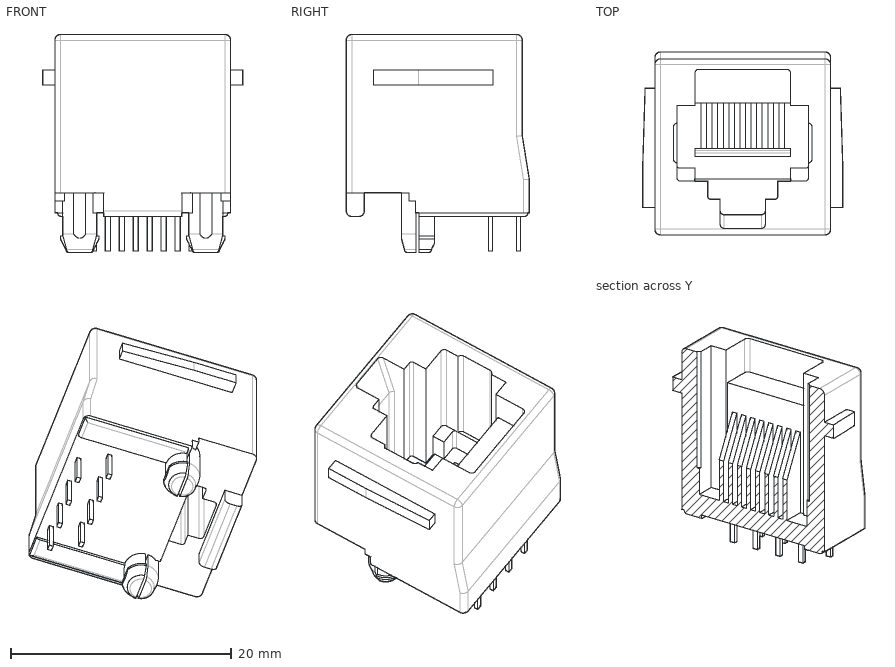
import cadquery as cq
import math


OVERALL_HEIGHT = 19.81
HOUSING_WIDTH = 15.97
HOUSING_TOP = 16.55
EDGE_RADIUS = 0.53
BACK_UPPER_Y = 16.0
BACK_LOWER_Y = 16.65
BACK_SLOPE_TOP = 7.33
BACK_SLOPE_BOTTOM = 3.39

FRONT_UNDERSIDE_Z = 2.14
STEP_UNDERSIDE_Z = 1.43
REAR_UNDERSIDE_Z = 0.34
REAR_BLOCK_Y = 6.32
STEP_Y = 5.7
STEP_INNER_X = 7.0
CENTER_BLOCK_WIDTH = 9.0
CENTER_BLOCK_Y = 5.07

TONGUE_WIDTH = 7.1
TONGUE_DEPTH = 1.66
TONGUE_RADIUS = 0.52
RAIL_OUTER_X = 7.73
RAIL_INNER_X = 5.73
RAIL_BACK_Y = 16.5
RAIL_RADIUS = 0.32

WING_SPAN = 18.17
WING_BACK_SPAN = 17.75
WING_FRONT_Y = 2.5
WING_TAPER_Y = 6.55
WING_BACK_Y = 13.35
WING_BOTTOM = 11.93
WING_HEIGHT = 1.39

PEG_X = 5.73
PEG_Y = 6.48
PEG_RADIUS = 1.56
PEG_TIP_Z = HOUSING_TOP - OVERALL_HEIGHT
PEG_TIP_RADIUS = 1.19
PEG_TIP_ROUND = 0.25
PEG_CONE_TOP_Z = -1.6
PEG_FLAT_Y = 5.01
PEG_SLIT = 0.24
BARB_RADIUS = 1.76
BARB_TOP_Z = -1.76
BARB_BAND = 0.28
BARB_TIP_RADIUS = 1.27

CAVITY_FLOOR_Z = 2.38
CAVITY_WIDTH = 11.97
CAVITY_FRONT_Y = 4.9
CAVITY_BACK_Y = 11.77
CONTACT_BAY_WIDTH = 8.68
CONTACT_WALL_Y = 12.0
LEDGE_BACK_Y = 15.05
LEDGE_Z = 13.2
LEDGE_CORNER_RADIUS = 0.35
SIDE_POCKET_WIDTH = 12.6
SIDE_POCKET_FRONT_Y = 6.54
SIDE_POCKET_BACK_Y = 10.18
SIDE_POCKET_RADIUS = 0.4
CORNER_RADIUS = 0.25
PLUG_CORNER_RADIUS = 0.35
SHOULDER_BACK_Y = 6.08
SHOULDER_Z = 4.95
LATCH_STEP_WIDTH = 6.34
LATCH_STEP_Y = 3.27
LATCH_SLOT_WIDTH = 4.1
LATCH_SLOT_TOP_Y = 0.61
LATCH_SLOT_BOTTOM_Y = 1.86
LATCH_RAMP_HEIGHT = 4.3
LATCH_CORNER_RADIUS = 0.35

CONTACT_COUNT = 8
CONTACT_PITCH = 1.01
CONTACT_WIDTH = 0.5
CONTACT_TOP_Z = 10.42
RIDGE_FRONT_Y = 7.15
RIDGE_BACK_Y = 7.86
RIDGE_HEIGHT = 0.4
RIDGE_FRONT_RADIUS = 0.32
RIDGE_BACK_RADIUS = 0.2

PIN_PITCH = 1.27
PIN_WIDTH = 0.5
PIN_THICKNESS = 0.38
PIN_BOTTOM_Z = -3.13
PIN_ROWS_Y = (13.11, 15.65)


def centered_block(width, y_front, y_back, z_bottom, z_top):
    """Block that is symmetric about the X = 0 plane."""
    return (
        cq.Workplane("XY", origin=(0, (y_front + y_back) / 2, z_bottom))
        .box(width, y_back - y_front, z_top - z_bottom, centered=(True, True, False))
    )


def side_profile(width, points):
    """Prism centred on X = 0 from an outline of (y, z) points."""
    return cq.Workplane("YZ").polyline(points).close().extrude(width / 2, both=True)


def both_sides(shape):
    return shape.union(shape.mirror("YZ"))


def make_housing():
    outline = [
        (0, FRONT_UNDERSIDE_Z),
        (REAR_BLOCK_Y, FRONT_UNDERSIDE_Z),
        (REAR_BLOCK_Y, REAR_UNDERSIDE_Z),
        (BACK_LOWER_Y, REAR_UNDERSIDE_Z),
        (BACK_LOWER_Y, BACK_SLOPE_BOTTOM),
        (BACK_UPPER_Y, BACK_SLOPE_TOP),
        (BACK_UPPER_Y, HOUSING_TOP),
        (0, HOUSING_TOP),
    ]
    shell = side_profile(HOUSING_WIDTH, outline)
    near_back = cq.selectors.BoxSelector(
        (-HOUSING_WIDTH, BACK_UPPER_Y - EDGE_RADIUS, 0),
        (HOUSING_WIDTH, BACK_LOWER_Y + EDGE_RADIUS, HOUSING_TOP),
    )
    shell = shell.edges("#X").edges(near_back).edges("not #Z").fillet(EDGE_RADIUS)
    shell = shell.faces("<Y").edges("|Z").fillet(EDGE_RADIUS)
    shell = shell.faces(">Z").edges().fillet(EDGE_RADIUS)

    center = centered_block(
        CENTER_BLOCK_WIDTH, CENTER_BLOCK_Y, REAR_BLOCK_Y, REAR_UNDERSIDE_Z, FRONT_UNDERSIDE_Z
    )
    step = centered_block(HOUSING_WIDTH, STEP_Y, REAR_BLOCK_Y, STEP_UNDERSIDE_Z, FRONT_UNDERSIDE_Z)
    step = step.cut(
        centered_block(2 * STEP_INNER_X, STEP_Y, REAR_BLOCK_Y, STEP_UNDERSIDE_Z, FRONT_UNDERSIDE_Z)
    )
    return shell.union(center).union(step)


def make_tongue():
    tongue = centered_block(TONGUE_WIDTH, 0, TONGUE_DEPTH, 0, FRONT_UNDERSIDE_Z)
    return tongue.faces("<Z").edges("|X").fillet(TONGUE_RADIUS)


def make_rails():
    rail = (
        cq.Workplane("XY")
        .box(RAIL_OUTER_X - RAIL_INNER_X, RAIL_BACK_Y - PEG_Y, REAR_UNDERSIDE_Z, centered=False)
        .translate((RAIL_INNER_X, PEG_Y, 0))
    )
    rail = rail.faces("<Z").edges(">X or >Y").fillet(RAIL_RADIUS)
    return both_sides(rail)


def make_wings():
    outline = [
        (0, WING_FRONT_Y),
        (WING_SPAN / 2, WING_FRONT_Y),
        (WING_SPAN / 2, WING_TAPER_Y),
        (WING_BACK_SPAN / 2, WING_BACK_Y),
        (0, WING_BACK_Y),
    ]
    wing = cq.Workplane("XY", origin=(0, 0, WING_BOTTOM)).polyline(outline).close().extrude(WING_HEIGHT)
    return both_sides(wing)


def revolved_peg(outer_points, tip_radius):
    """Turn an outline of (radius, z) points, closed by a rounded tip, about the peg axis."""
    arc_inset = PEG_TIP_ROUND * (1 - math.sqrt(0.5))
    return (
        cq.Workplane("XZ")
        .moveTo(0, outer_points[0][1])
        .polyline(outer_points, includeCurrent=True)
        .lineTo(tip_radius, PEG_TIP_Z + PEG_TIP_ROUND)
        .threePointArc(
            (tip_radius - arc_inset, PEG_TIP_Z + arc_inset),
            (tip_radius - PEG_TIP_ROUND, PEG_TIP_Z),
        )
        .lineTo(0, PEG_TIP_Z)
        .close()
        .revolve(360, (0, 0, 0), (0, 1, 0))
        .translate((PEG_X, PEG_Y, 0))
    )


def make_pegs():
    shank = revolved_peg(
        [(PEG_RADIUS, FRONT_UNDERSIDE_Z), (PEG_RADIUS, PEG_CONE_TOP_Z)], PEG_TIP_RADIUS
    )
    barb = revolved_peg(
        [
            (PEG_RADIUS, PEG_CONE_TOP_Z),
            (PEG_RADIUS, BARB_TOP_Z),
            (BARB_RADIUS, BARB_TOP_Z),
            (BARB_RADIUS, BARB_TOP_Z - BARB_BAND),
        ],
        BARB_TIP_RADIUS,
    )
    barb = barb.intersect(
        centered_block(HOUSING_WIDTH, PEG_Y, PEG_Y + PEG_RADIUS, PEG_TIP_Z, PEG_CONE_TOP_Z)
    )
    shank = shank.intersect(
        centered_block(HOUSING_WIDTH, PEG_FLAT_Y, PEG_Y + PEG_RADIUS, PEG_TIP_Z, FRONT_UNDERSIDE_Z)
    )
    return both_sides(shank.union(barb))


def make_peg_slits():
    return centered_block(
        HOUSING_WIDTH, PEG_Y - PEG_SLIT / 2, PEG_Y + PEG_SLIT / 2, PEG_TIP_Z, REAR_UNDERSIDE_Z
    )


def make_cavity():
    upper = centered_block(CAVITY_WIDTH, CAVITY_FRONT_Y, CAVITY_BACK_Y, SHOULDER_Z, HOUSING_TOP)
    upper = upper.faces("<Y").edges("|Z").fillet(PLUG_CORNER_RADIUS)
    lower = centered_block(CAVITY_WIDTH, SHOULDER_BACK_Y, CAVITY_BACK_Y, CAVITY_FLOOR_Z, SHOULDER_Z)
    lower = lower.faces("<Y").edges("|Z").fillet(CORNER_RADIUS)
    side_pockets = centered_block(
        SIDE_POCKET_WIDTH, SIDE_POCKET_FRONT_Y, SIDE_POCKET_BACK_Y, SHOULDER_Z, HOUSING_TOP
    ).edges("|Z").fillet(SIDE_POCKET_RADIUS)
    contact_bay = centered_block(
        CONTACT_BAY_WIDTH, CAVITY_FRONT_Y, CONTACT_WALL_Y, CAVITY_FLOOR_Z, HOUSING_TOP
    )
    ledge = centered_block(CONTACT_BAY_WIDTH, CAVITY_FRONT_Y, LEDGE_BACK_Y, LEDGE_Z, HOUSING_TOP)
    ledge = ledge.faces(">Y").edges("|Z").fillet(LEDGE_CORNER_RADIUS)
    return upper.union(lower).union(side_pockets).union(contact_bay).union(ledge)


def make_latch_opening():
    """Stepped opening that passes down through the open front of the housing."""
    bay = centered_block(
        CONTACT_BAY_WIDTH, CAVITY_FRONT_Y, CENTER_BLOCK_Y, REAR_UNDERSIDE_Z, HOUSING_TOP
    )
    step = centered_block(
        LATCH_STEP_WIDTH, LATCH_STEP_Y, CENTER_BLOCK_Y, REAR_UNDERSIDE_Z, HOUSING_TOP
    )
    step = step.faces("<Y").edges("|Z").fillet(CORNER_RADIUS)
    slot = side_profile(
        LATCH_SLOT_WIDTH,
        [
            (LATCH_SLOT_TOP_Y, HOUSING_TOP),
            (LATCH_SLOT_BOTTOM_Y, HOUSING_TOP - LATCH_RAMP_HEIGHT),
            (LATCH_SLOT_BOTTOM_Y, FRONT_UNDERSIDE_Z),
            (CENTER_BLOCK_Y, FRONT_UNDERSIDE_Z),
            (CENTER_BLOCK_Y, HOUSING_TOP),
        ],
    )
    front_wall = cq.selectors.BoxSelector(
        (-LATCH_SLOT_WIDTH, 0, 0),
        (LATCH_SLOT_WIDTH, LATCH_SLOT_BOTTOM_Y + LATCH_CORNER_RADIUS, HOUSING_TOP),
    )
    slot = slot.edges("#X").edges(front_wall).fillet(LATCH_CORNER_RADIUS)
    return bay.union(step).union(slot)


def make_contacts():
    slope = [
        (RIDGE_BACK_Y, CAVITY_FLOOR_Z),
        (CONTACT_WALL_Y, CONTACT_TOP_Z),
        (CONTACT_WALL_Y, CAVITY_FLOOR_Z),
    ]
    contact = side_profile(CONTACT_WIDTH, slope)
    contacts = centered_block(
        CONTACT_BAY_WIDTH, RIDGE_FRONT_Y, RIDGE_BACK_Y, CAVITY_FLOOR_Z, CAVITY_FLOOR_Z + RIDGE_HEIGHT
    )
    contacts = contacts.edges("|X and >Z and <Y").fillet(RIDGE_FRONT_RADIUS)
    contacts = contacts.edges("|X and >Z and >Y").fillet(RIDGE_BACK_RADIUS)
    for i in range(CONTACT_COUNT):
        x = (i - (CONTACT_COUNT - 1) / 2) * CONTACT_PITCH
        contacts = contacts.union(contact.translate((x, 0, 0)))
    return contacts


def make_pins():
    places = [
        ((i - (CONTACT_COUNT - 1) / 2) * PIN_PITCH, PIN_ROWS_Y[i % len(PIN_ROWS_Y)])
        for i in range(CONTACT_COUNT)
    ]
    return (
        cq.Workplane("XY", origin=(0, 0, PIN_BOTTOM_Z))
        .pushPoints(places)
        .rect(PIN_WIDTH, PIN_THICKNESS)
        .extrude(REAR_UNDERSIDE_Z - PIN_BOTTOM_Z)
    )


result = (
    make_housing()
    .union(make_wings())
    .union(make_tongue())
    .union(make_rails())
    .union(make_pegs())
    .cut(make_peg_slits())
    .cut(make_cavity())
    .cut(make_latch_opening())
    .union(make_contacts())
    .union(make_pins())
)